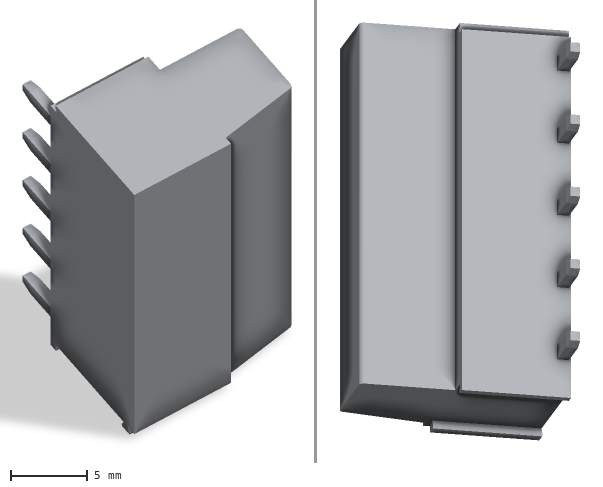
import cadquery as cq

overall_height = 25.6
rail_height = 0.61
housing_height = overall_height - rail_height
housing_width = 9.75
housing_depth = 13.8

pin_ledge_y = 7.37
pin_ledge_width = 1.95
sloped_ledge_y = 7.7
sloped_ledge_width = 0.61
tower_slope_run = 1.1
tower_corner_radius = 0.33

root_x = 0.6
waist_x = 0.55
bulge_x = 0.72
toe_x = 0.61
waist_drop = 0.18
bulge_drop = 0.44

foot_inset = 1.0
foot_center_x = housing_width - foot_inset
foot_root_half_width = 0.23
foot_bulge_half_width = 0.49
foot_toe_half_width = 0.44

pole_count = 5
pole_pitch = housing_height / pole_count
pin_length = 3.58
pin_taper_length = 1.0
pin_size_y = 0.8
pin_size_z = 1.0
pin_tip_size = 0.65
pin_center_y = 0.55


def make_housing():
    """Plan outline extruded upward, with rounded outer tower edges."""
    slope_base_x = housing_width - sloped_ledge_width
    outline = [
        (0, 0),
        (housing_width, 0),
        (housing_width, sloped_ledge_y),
        (slope_base_x, sloped_ledge_y),
        (slope_base_x - tower_slope_run, housing_depth),
        (pin_ledge_width, housing_depth),
        (pin_ledge_width, pin_ledge_y),
        (0, pin_ledge_y),
    ]
    housing = cq.Workplane("XY").polyline(outline).close().extrude(housing_height)
    return housing.faces(">Y").edges("|Z").fillet(tower_corner_radius)


def extrude_along_y(points):
    """Extrude an XZ outline from the Y = 0 face to the pin-side ledge."""
    return cq.Workplane("XZ").polyline(points).close().extrude(-pin_ledge_y)


def make_rail(top_z):
    """Strip with a waist and a bulge on its inner side, hanging from top_z."""
    return extrude_along_y([
        (0, top_z),
        (root_x, top_z),
        (waist_x, top_z - waist_drop),
        (bulge_x, top_z - bulge_drop),
        (toe_x, top_z - rail_height),
        (0, top_z - rail_height),
    ])


def make_foot():
    """Dovetail foot that widens downward from the housing bottom."""
    return extrude_along_y([
        (foot_center_x - foot_root_half_width, 0),
        (foot_center_x + foot_root_half_width, 0),
        (foot_center_x + foot_bulge_half_width, -bulge_drop),
        (foot_center_x + foot_toe_half_width, -rail_height),
        (foot_center_x - foot_toe_half_width, -rail_height),
        (foot_center_x - foot_bulge_half_width, -bulge_drop),
    ])


def make_pin(center_z):
    """Rectangular pin toward -X, ending in a four-sided taper."""
    shaft_length = pin_length - pin_taper_length
    shaft = (
        cq.Workplane("YZ", origin=(0, pin_center_y, center_z))
        .rect(pin_size_y, pin_size_z)
        .extrude(-shaft_length)
    )
    tip = (
        cq.Workplane("YZ", origin=(-shaft_length, pin_center_y, center_z))
        .rect(pin_size_y, pin_size_z)
        .workplane(offset=-pin_taper_length)
        .rect(pin_tip_size, pin_tip_size)
        .loft(ruled=True)
    )
    return shaft.union(tip)


result = make_housing()
result = result.cut(make_rail(housing_height))
result = result.union(make_rail(0)).union(make_foot())
for pole in range(pole_count):
    pole_center_z = (pole + 0.5) * pole_pitch
    result = result.union(make_pin(pole_center_z))